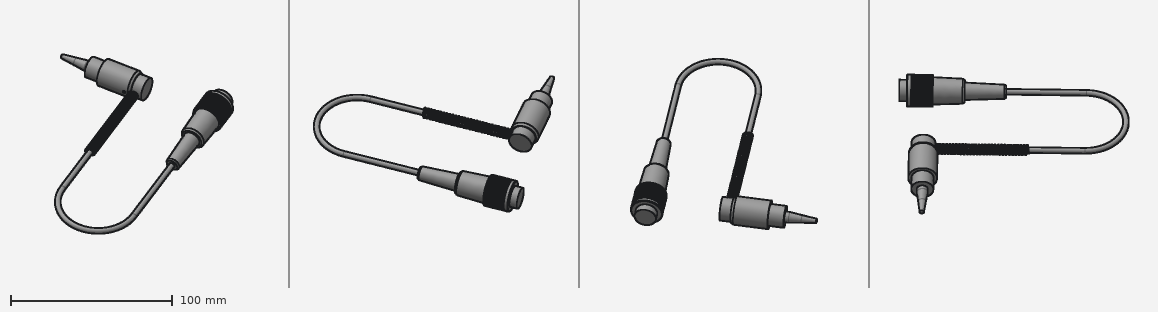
import cadquery as cq
import math

OVERALL_LENGTH = 142.6
CABLE_DIAMETER = 3.7
CABLE_SPACING = 50.0
BEND_RADIUS = CABLE_SPACING / 2
PLUG_TOP_Y = OVERALL_LENGTH - BEND_RADIUS - CABLE_DIAMETER / 2
PLUG_AXIS_X = BEND_RADIUS
PLUG_TOP_TO_HANDPIECE = 15.8
HANDPIECE_AXIS_Y = PLUG_TOP_Y - PLUG_TOP_TO_HANDPIECE
CABLE_TO_TIP = 55.2
TIP_END_X = -BEND_RADIUS - CABLE_TO_TIP
SOCKET_DEPTH = 4.3

TIP_DOME_HEIGHT = 0.5
TIP_DOME_DIAMETER = 2.9
TIP_MIDDLE_X = 9.8
TIP_MIDDLE_DIAMETER = 5.0
TIP_SHANK_X = 17.7
TIP_SHANK_DIAMETER = 7.0

NOSE_X = 20.1
NOSE_DIAMETER = 13.8
BODY_X = 29.8
BODY_DIAMETER = 18.0
BODY_CHAMFER_LENGTH = 1.9
BODY_CHAMFER_DEPTH = 1.0
CAP_X = 53.2
CAP_DIAMETER = 15.0
CAP_END_X = 60.2
SIDE_HOLE_X = 49.0
SIDE_HOLE_DIAMETER = 1.5
SIDE_HOLE_DEPTH = 1.4

SPRING_DIAMETER = 6.5
WIRE_DIAMETER = 1.0
SPRING_PITCH = 2.0
SPRING_TURNS = 28.5
SPRING_GAP = 0.1
COIL_RADIUS = (SPRING_DIAMETER - WIRE_DIAMETER) / 2

INSERT_DIAMETER = 13.5
RING_TOP = 4.7
RING_BOTTOM = 21.0
RING_DIAMETER = 20.0
RING_CHAMFER = 0.4
KNURL_TOP = 7.4
KNURL_DEPTH = 0.21
KNURL_COLUMNS = 120
KNURL_ROWS = 24
SLEEVE_TOP_DIAMETER = 17.1
SLEEVE_DIAMETER = 15.7
SLEEVE_TAPER_END = 39.2
SLEEVE_BOTTOM = 40.7
SLEEVE_BOTTOM_DIAMETER = 13.5
TAIL_TOP_DIAMETER = 11.0
TAIL_DIAMETER = 9.0
TAIL_TAPER_END = 65.0
TAIL_BOTTOM = 66.2
TAIL_BOTTOM_DIAMETER = 7.4


def turned_along_x(stations):
    """Solid of revolution about the handpiece axis from (distance from tip end, diameter) pairs."""
    points = [(x, diameter / 2) for x, diameter in stations]
    profile = cq.Workplane("XY").polyline([(points[0][0], 0), *points, (points[-1][0], 0)]).close()
    return profile.revolve(360, (0, 0), (1, 0)).translate((TIP_END_X, HANDPIECE_AXIS_Y, 0))


def turned_down_plug(stations):
    """Solid of revolution about the plug axis from (distance below plug top, diameter) pairs."""
    points = [(diameter / 2, -depth) for depth, diameter in stations]
    profile = cq.Workplane("XY").polyline([(0, points[0][1]), *points, (0, points[-1][1])]).close()
    return profile.revolve(360, (0, 0), (0, 1)).translate((PLUG_AXIS_X, PLUG_TOP_Y, 0))


def make_tip():
    """Two tapers and a straight shank, with a shallow dome at the small end."""
    base = TIP_DOME_DIAMETER / 2
    dome_radius = (base**2 + TIP_DOME_HEIGHT**2) / (2 * TIP_DOME_HEIGHT)
    half_angle = math.asin(base / dome_radius) / 2
    dome_middle = (dome_radius * (1 - math.cos(half_angle)), dome_radius * math.sin(half_angle))
    profile = (
        cq.Workplane("XY")
        .threePointArc(dome_middle, (TIP_DOME_HEIGHT, base))
        .lineTo(TIP_MIDDLE_X, TIP_MIDDLE_DIAMETER / 2)
        .lineTo(TIP_SHANK_X, TIP_SHANK_DIAMETER / 2)
        .lineTo(NOSE_X, TIP_SHANK_DIAMETER / 2)
        .lineTo(NOSE_X, 0)
        .close()
    )
    return profile.revolve(360, (0, 0), (1, 0)).translate((TIP_END_X, HANDPIECE_AXIS_Y, 0))


def make_cable():
    """Cable from the handpiece, round a half-circle bend and up into the plug."""
    top_left = (-BEND_RADIUS, HANDPIECE_AXIS_Y - CAP_DIAMETER / 2 + SOCKET_DEPTH)
    top_right = (BEND_RADIUS, PLUG_TOP_Y - TAIL_BOTTOM + SOCKET_DEPTH)
    path = (
        cq.Workplane("XY")
        .moveTo(*top_left)
        .lineTo(-BEND_RADIUS, 0)
        .threePointArc((0, -BEND_RADIUS), (BEND_RADIUS, 0))
        .lineTo(*top_right)
    )
    start = cq.Workplane("XZ", origin=(*top_left, 0))
    return start.circle(CABLE_DIAMETER / 2).sweep(path)


def make_spring():
    """Right-handed coil around the cable, hanging down from the handpiece."""
    height = SPRING_TURNS * SPRING_PITCH
    path = cq.Wire.makeHelix(SPRING_PITCH, height, COIL_RADIUS)
    section = cq.Workplane("XZ", origin=(COIL_RADIUS, 0, 0)).circle(WIRE_DIAMETER / 2)
    coil = section.sweep(cq.Workplane(path), isFrenet=True)
    top_y = HANDPIECE_AXIS_Y - CAP_DIAMETER / 2 - WIRE_DIAMETER / 2 - SPRING_GAP
    return coil.rotate((0, 0, 0), (1, 0, 0), 90).translate((-BEND_RADIUS, top_y, 0))


def make_handpiece(cable):
    """Stepped body with a small side hole and a socket for the cable."""
    body = turned_along_x(
        [
            (NOSE_X, NOSE_DIAMETER),
            (BODY_X, NOSE_DIAMETER),
            (BODY_X, BODY_DIAMETER),
            (CAP_X - BODY_CHAMFER_LENGTH, BODY_DIAMETER),
            (CAP_X, BODY_DIAMETER - 2 * BODY_CHAMFER_DEPTH),
            (CAP_X, CAP_DIAMETER),
            (CAP_END_X, CAP_DIAMETER),
        ]
    )
    side_wall = (TIP_END_X + SIDE_HOLE_X, HANDPIECE_AXIS_Y - BODY_DIAMETER / 2, 0)
    side_hole = cq.Workplane("XZ", origin=side_wall).circle(SIDE_HOLE_DIAMETER / 2).extrude(-SIDE_HOLE_DEPTH)
    return body.cut(side_hole).cut(cable)


def knurl_point(column, row):
    """Corner of the knurl lattice: apexes alternate with groove crossings, and both rims are round."""
    on_rim = row in (0, KNURL_ROWS)
    is_apex = (column + row) % 2 == 0 and not on_rim
    radius = RING_DIAMETER / 2 - (0 if is_apex else KNURL_DEPTH)
    angle = 2 * math.pi * column / KNURL_COLUMNS
    depth = KNURL_TOP + (RING_BOTTOM - KNURL_TOP) * row / KNURL_ROWS
    return cq.Vector(radius * math.cos(angle), -depth, radius * math.sin(angle))


def polygon_face(points):
    return cq.Face.makeFromWires(cq.Wire.makePolygon(points, close=True))


def knurled_cylinder():
    """Cylinder covered in small pyramids, with grooves running both ways round it."""
    faces = []
    for row in range(KNURL_ROWS):
        for column in range(KNURL_COLUMNS):
            near, far = column, (column + 1) % KNURL_COLUMNS
            cell = [
                knurl_point(near, row),
                knurl_point(far, row),
                knurl_point(far, row + 1),
                knurl_point(near, row + 1),
            ]
            if (column + row) % 2 == 0:
                cell = cell[1:] + cell[:1]
            faces.append(polygon_face([cell[0], cell[1], cell[2]]))
            faces.append(polygon_face([cell[0], cell[2], cell[3]]))
    for row in (0, KNURL_ROWS):
        faces.append(polygon_face([knurl_point(column, row) for column in range(KNURL_COLUMNS)]))
    return cq.Workplane(cq.Solid.makeSolid(cq.Shell.makeShell(faces)))


def make_ring(plug):
    """Coupling ring: a plain band above the knurl, bored to fit the plug."""
    band = turned_down_plug(
        [
            (RING_TOP, RING_DIAMETER - 2 * RING_CHAMFER),
            (RING_TOP + RING_CHAMFER, RING_DIAMETER),
            (KNURL_TOP, RING_DIAMETER),
        ]
    )
    knurl = knurled_cylinder().translate((PLUG_AXIS_X, PLUG_TOP_Y, 0))
    return band.union(knurl).cut(plug)


def make_plug():
    """Insert, tapered sleeve and tapered tail in one turned piece."""
    return turned_down_plug(
        [
            (0, INSERT_DIAMETER),
            (RING_BOTTOM, INSERT_DIAMETER),
            (RING_BOTTOM, SLEEVE_TOP_DIAMETER),
            (SLEEVE_TAPER_END, SLEEVE_DIAMETER),
            (SLEEVE_BOTTOM, SLEEVE_BOTTOM_DIAMETER),
            (SLEEVE_BOTTOM, TAIL_TOP_DIAMETER),
            (TAIL_TAPER_END, TAIL_DIAMETER),
            (TAIL_BOTTOM, TAIL_BOTTOM_DIAMETER),
        ]
    )


tip = make_tip()
cable = make_cable()
spring = make_spring()
handpiece = make_handpiece(cable)
plug = make_plug().cut(cable)
ring = make_ring(plug)

result = cq.Compound.makeCompound(
    [tip.val(), handpiece.val(), cable.val(), spring.val(), ring.val(), plug.val()]
)